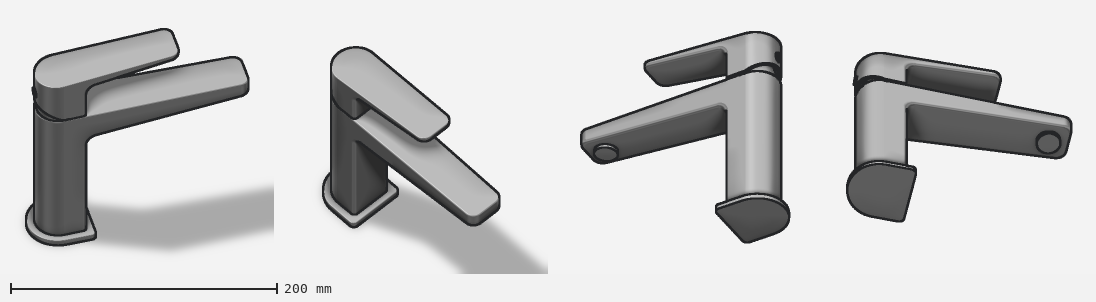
import cadquery as cq
import math

OVERALL_LENGTH = 170.0
OVERALL_HEIGHT = 170.0

PLATE_RADIUS = 24.0
PLATE_HEIGHT = 4.8
PLATE_CORNER = 3.9
PLATE_EDGE = 0.8
COLUMN_RADIUS = 18.0

SPOUT_TIP_Y = OVERALL_LENGTH - PLATE_RADIUS
SPOUT_TIP_HALF_WIDTH = 15.6
SPOUT_TOP = 125.1
SPOUT_ROOT_HEIGHT = 101.7
SPOUT_SLOPE = math.radians(4.7)
SPOUT_TOP_EDGE = 1.4

HANDLE_TIP_Y = 91.8
HANDLE_TIP_HALF_WIDTH = 15.1
HANDLE_TOP_SLOPE = math.radians(4.9)
HANDLE_BOTTOM = 126.6
HANDLE_BACK_BOTTOM = 134.6
LEVER_ROOT_HEIGHT = 154.9
LEVER_SLOPE = math.radians(7.8)
HANDLE_TOP_EDGE = 0.8

TIP_CORNER = 7.6
ELBOW_RADIUS = 8.2
UNDERSIDE_EDGE = 3.0

NECK_BASE_RADIUS = 16.5
NECK_TAPER = math.radians(16)
NECK_TOP = 139.4
HANDLE_BORE_RADIUS = 16.3

AERATOR_Y = 130.2
AERATOR_RADIUS = 9.0
AERATOR_DROP = 3.0
AERATOR_DEPTH = 1.7

SCREW_HEIGHT = 144.5
SCREW_RADIUS = 3.4
SCREW_PROUD = 0.7
SCREW_LENGTH = 6.8
SOCKET_SIDES = 6
SOCKET_DIAMETER = 4.6
SOCKET_DEPTH = 1.4
SCREW_HOLE_PLAY = 1.0


def tapered_plan(tip_y, tip_half_width, bottom, top):
    """Prism with a round back end that narrows in straight sides to a tip with round corners."""
    return (
        cq.Workplane("XY", origin=(0, 0, bottom))
        .moveTo(COLUMN_RADIUS, 0)
        .lineTo(tip_half_width, tip_y)
        .lineTo(-tip_half_width, tip_y)
        .lineTo(-COLUMN_RADIUS, 0)
        .threePointArc((0, -COLUMN_RADIUS), (COLUMN_RADIUS, 0))
        .close()
        .extrude(top - bottom)
        .edges("|Z and >Y")
        .fillet(TIP_CORNER)
    )


def cut_overhang(arm, bottom, tip_y, root_height, slope):
    """Clear the space in front of the column and below the arm, and round the edges this leaves."""
    reach = tip_y + TIP_CORNER
    rise = (reach - COLUMN_RADIUS) * math.tan(slope)
    space = (
        cq.Workplane("YZ")
        .moveTo(COLUMN_RADIUS, bottom)
        .lineTo(COLUMN_RADIUS, root_height)
        .lineTo(reach, root_height + rise)
        .lineTo(reach, bottom)
        .close()
        .extrude(2 * COLUMN_RADIUS, both=True)
        .edges(cq.selectors.NearestToPointSelector((0, COLUMN_RADIUS, root_height)))
        .fillet(ELBOW_RADIUS)
    )
    column_middle = (bottom + root_height - ELBOW_RADIUS) / 2
    column_corner = cq.selectors.NearestToPointSelector((COLUMN_RADIUS, COLUMN_RADIUS, column_middle))
    return arm.cut(space).edges(column_corner).fillet(UNDERSIDE_EDGE)


def make_plate():
    """Flat plate with a round back, a square front and a rounded top edge."""
    return (
        cq.Workplane("XY")
        .moveTo(PLATE_RADIUS, 0)
        .lineTo(PLATE_RADIUS, PLATE_RADIUS)
        .lineTo(-PLATE_RADIUS, PLATE_RADIUS)
        .lineTo(-PLATE_RADIUS, 0)
        .threePointArc((0, -PLATE_RADIUS), (PLATE_RADIUS, 0))
        .close()
        .extrude(PLATE_HEIGHT)
        .edges("|Z and >Y")
        .fillet(PLATE_CORNER)
        .faces(">Z")
        .edges()
        .fillet(PLATE_EDGE)
    )


def make_aerator():
    """Disc square to the sloping underside, reaching a little way into the spout."""
    underside_z = SPOUT_ROOT_HEIGHT + (AERATOR_Y - COLUMN_RADIUS) * math.tan(SPOUT_SLOPE)
    outward = cq.Vector(0, math.sin(SPOUT_SLOPE), -math.cos(SPOUT_SLOPE))
    start = cq.Vector(0, AERATOR_Y, underside_z) - outward * AERATOR_DEPTH
    return cq.Workplane(cq.Solid.makeCylinder(AERATOR_RADIUS, AERATOR_DEPTH + AERATOR_DROP, start, outward))


def make_neck():
    """Cone standing on the flat top of the column."""
    height = NECK_TOP - SPOUT_TOP
    top_radius = NECK_BASE_RADIUS - height * math.tan(NECK_TAPER)
    return cq.Workplane(cq.Solid.makeCone(NECK_BASE_RADIUS, top_radius, height, cq.Vector(0, 0, SPOUT_TOP)))


def make_body():
    """Column and spout, with the neck and the aerator."""
    body = tapered_plan(SPOUT_TIP_Y, SPOUT_TIP_HALF_WIDTH, PLATE_HEIGHT, SPOUT_TOP)
    body = cut_overhang(body, PLATE_HEIGHT, SPOUT_TIP_Y, SPOUT_ROOT_HEIGHT, SPOUT_SLOPE)
    body = body.faces(">Z").edges().fillet(SPOUT_TOP_EDGE)
    return body.union(make_neck()).union(make_aerator())


def screw_blank():
    """Plain cylinder of the screw, also used to cut its hole."""
    inner_end = SCREW_LENGTH - COLUMN_RADIUS - SCREW_PROUD
    return (
        cq.Workplane("XZ", origin=(0, inner_end, SCREW_HEIGHT))
        .circle(SCREW_RADIUS)
        .extrude(SCREW_LENGTH)
    )


def make_screw():
    """Screw with a hexagonal socket in its outer end."""
    return screw_blank().faces("<Y").workplane().polygon(SOCKET_SIDES, SOCKET_DIAMETER).cutBlind(-SOCKET_DEPTH)


def make_handle():
    """Lever handle with a slanted bottom, a bore for the neck and a hole for the screw."""
    edge_loss = HANDLE_TOP_EDGE * (math.tan(HANDLE_TOP_SLOPE) + 1 / math.cos(HANDLE_TOP_SLOPE) - 1)
    sharp_top = OVERALL_HEIGHT + edge_loss
    handle = tapered_plan(HANDLE_TIP_Y, HANDLE_TIP_HALF_WIDTH, HANDLE_BOTTOM, sharp_top)

    back_y = -COLUMN_RADIUS
    back_top = sharp_top - (HANDLE_TIP_Y - back_y) * math.tan(HANDLE_TOP_SLOPE)
    above_top = (
        cq.Workplane("YZ")
        .polyline([(HANDLE_TIP_Y, sharp_top), (back_y, back_top), (back_y, sharp_top)])
        .close()
        .extrude(2 * COLUMN_RADIUS, both=True)
    )
    handle = handle.cut(above_top)
    handle = cut_overhang(handle, HANDLE_BOTTOM, HANDLE_TIP_Y, LEVER_ROOT_HEIGHT, LEVER_SLOPE)
    handle = handle.faces(">Z").edges().fillet(HANDLE_TOP_EDGE)

    below_back = (
        cq.Workplane("YZ")
        .polyline([(0, HANDLE_BOTTOM), (back_y, HANDLE_BACK_BOTTOM), (back_y, HANDLE_BOTTOM)])
        .close()
        .extrude(2 * COLUMN_RADIUS, both=True)
    )
    handle = handle.cut(below_back)

    bore = (
        cq.Workplane("XY", origin=(0, 0, HANDLE_BOTTOM))
        .circle(HANDLE_BORE_RADIUS)
        .extrude(NECK_TOP - HANDLE_BOTTOM)
    )
    hole = screw_blank()
    return handle.cut(bore).cut(hole).cut(hole.translate((0, 0, -SCREW_HOLE_PLAY)))


plate = make_plate()
body = make_body()
handle = make_handle()
screw = make_screw()
result = cq.Compound.makeCompound([plate.val(), body.val(), handle.val(), screw.val()])